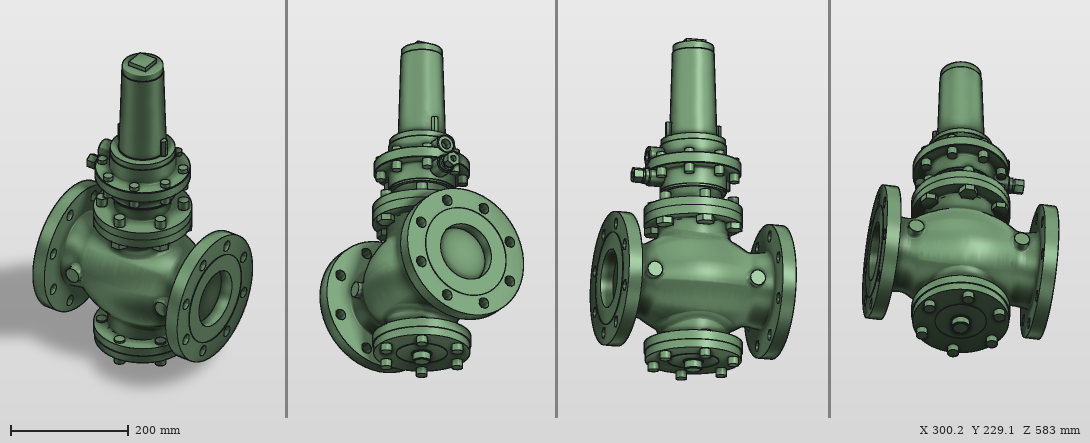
import cadquery as cq
import math


TOP_Z = 432.5
BOTTOM_Z = -150.5
UPPER_JOINT_Z = 119.5
LOWER_JOINT_Z = -119.0

HALF_LENGTH = 150.1
RAISED_FACE_HEIGHT = 1.0
RAISED_FACE_RADIUS = 79.0
PIPE_FLANGE_RADIUS = 114.55
PIPE_FLANGE_THICKNESS = 24.0
PIPE_BOLT_CIRCLE_RADIUS = 94.5
PIPE_BOLT_HOLE_RADIUS = 9.5
PIPE_BOLT_COUNT = 8
PORT_RADIUS = 50.0
PORT_DEPTH = 22.0

BULGE_RADIUS = 91.5
BULGE_END_X = 83.0
BULGE_END_RADIUS = 67.5
WAIST_START_X = 97.5
WAIST_END_X = 102.5
WAIST_RADIUS = 63.0
NECK_END_RADIUS = 66.0
PIPE_FLANGE_FILLET = 3.5

NECK_RADIUS = 60.0
NECK_FILLET = 17.5
NECK_FLANGE_FILLET = 2.5
BODY_FLANGE_RADIUS = 84.0
UPPER_FLANGE_THICKNESS = 16.0
LOWER_FLANGE_THICKNESS = 16.0

BOSS_X = 91.5
BOSS_RADIUS = 13.1
BOSS_END_Y = 78.5
BOSS_FILLET = 4.0

MAIN_BOLT_COUNT = 6
MAIN_BOLT_CIRCLE_RADIUS = 70.0
MAIN_BOLT_RADIUS = 9.5
MAIN_BOLT_START_ANGLE = 30
BOLT_HEAD_ACROSS_FLATS = 27.5
BOLT_HEAD_HEIGHT = 11.0
COVER_BOLT_TIP_HEIGHT = 3.5

COVER_RADIUS = 82.0
COVER_BOTTOM_Z = -133.5
COVER_PAD_RADIUS = 44.0
COVER_PAD_HEIGHT = 1.0
COVER_BOLT_HEAD_HEIGHT = 13.0
PLUG_COLLAR_RADIUS = 17.5
PLUG_COLLAR_HEIGHT = 2.0
PLUG_RADIUS = 15.0
PLUG_TIP_RADIUS = 13.0
PLUG_TIP_HEIGHT = 2.0

MOUNT_TOP_Z = 134.0
MOUNT_BOLT_HEIGHT = 16.0
STEM_RADIUS = 48.7
STEM_FILLET = 3.0
CASE_RADIUS = 57.0
CASE_RIM_RADIUS = 55.5
CASE_BOTTOM_Z = 162.0
CASE_BOTTOM_RIM_HEIGHT = 3.5
CASE_SHOULDER_Z = 245.0
CASE_TOP_Z = 255.5
CASE_FLANGE_RADIUS = 81.5
CASE_FLANGE_BOTTOM_Z = 195.5
CASE_FLANGE_TOP_Z = 214.5
CASE_FLANGE_CHAMFER = 1.0
CASE_FLANGE_FILLET = 3.5
SPRING_CAP_BASE_RADIUS = 41.0
SPRING_CAP_NECK_RADIUS = 35.85
SPRING_CAP_NECK_Z = 411.5
SPRING_CAP_TOP_RADIUS = 35.0
SPRING_CAP_TOP_Z = 425.0
SPRING_CAP_CHAMFER = 1.0
SPRING_CAP_FOOT = 1.0
SPRING_CAP_TOP_FILLET = 2.5
SQUARE_SIDE = 34.5

CASE_BOLT_COUNT = 8
CASE_BOLT_CIRCLE_RADIUS = 70.25
CASE_BOLT_RADIUS = 8.0
CASE_BOLT_START_ANGLE = 22.5
CASE_BOLT_BOTTOM_Z = 181.0
CASE_BOLT_TOP_Z = 222.0

CLAMP_SCREW_X = 43.0
CLAMP_SCREW_ACROSS_FLATS = 11.0
CLAMP_SCREW_TOP_Z = 285.0

LUG_RADIUS = 16.5
LUG_END_X = -82.0
LUG_CHAMFER = 2.0
UPPER_LUG_Z = 222.5
LOWER_LUG_Z = 187.0
LUG_HOLE_RADIUS = 9.0
LUG_HOLE_DEPTH = 14.5

FITTING_COLLAR_END_X = -88.5
FITTING_COLLAR_RADIUS = 13.5
FITTING_NECK_RADIUS = 10.5
FITTING_NUT_START_X = -92.0
FITTING_NUT_END_X = -108.0
FITTING_NUT_CORNER_RADIUS = 13.0
FITTING_HOLE_RADIUS = 5.0
FITTING_HOLE_DEPTH = 9.0

SELECTION_MARGIN = 0.5


def disc(radius, z_start, z_end, x=0.0, y=0.0):
    """Upright cylinder between two heights."""
    return cq.Workplane("XY", origin=(x, y, z_start)).circle(radius).extrude(z_end - z_start)


def rod_along_x(radius, x_start, x_end, z=0.0):
    """Cylinder along X between two places."""
    return cq.Workplane("YZ", origin=(x_start, 0, z)).circle(radius).extrude(x_end - x_start)


def hexagon_prism(across_flats, z_start, z_end, x=0.0, y=0.0):
    """Upright hexagonal prism with two of its corners on the X direction."""
    corner_diameter = 2 * across_flats / math.sqrt(3)
    return cq.Workplane("XY", origin=(x, y, z_start)).polygon(6, corner_diameter).extrude(z_end - z_start)


def edges_in_box(solid, low, high):
    """Edges of a solid that lie wholly in a box."""
    return solid.edges(cq.selectors.BoxSelector(low, high, boundingbox=True))


def ring_edges(solid, radius, z_low, z_high):
    """Edges around the Z axis, no wider than a radius, that lie between two heights."""
    reach = radius + SELECTION_MARGIN
    return edges_in_box(solid, (-reach, -reach, z_low), (reach, reach, z_high))


def circle_at(solid, radius, z):
    """Edges at one height, no wider than a radius."""
    return ring_edges(solid, radius, z - SELECTION_MARGIN, z + SELECTION_MARGIN)


def circle_places(count, radius, start_angle):
    """Evenly spaced points on a circle."""
    angles = [math.radians(start_angle + i * 360 / count) for i in range(count)]
    return [(radius * math.cos(a), radius * math.sin(a)) for a in angles]


MAIN_BOLT_PLACES = circle_places(MAIN_BOLT_COUNT, MAIN_BOLT_CIRCLE_RADIUS, MAIN_BOLT_START_ANGLE)
CASE_BOLT_PLACES = circle_places(CASE_BOLT_COUNT, CASE_BOLT_CIRCLE_RADIUS, CASE_BOLT_START_ANGLE)

FLANGE_FACE_X = HALF_LENGTH - RAISED_FACE_HEIGHT
FLANGE_BACK_X = FLANGE_FACE_X - PIPE_FLANGE_THICKNESS


def housing_shell():
    """Bulged shell that narrows to a waist and widens to the pipe flange on each side."""
    return (
        cq.Workplane("XY")
        .moveTo(-FLANGE_BACK_X, 0)
        .lineTo(-FLANGE_BACK_X, NECK_END_RADIUS + PIPE_FLANGE_FILLET)
        .radiusArc((-FLANGE_BACK_X + PIPE_FLANGE_FILLET, NECK_END_RADIUS), -PIPE_FLANGE_FILLET)
        .lineTo(-WAIST_END_X, WAIST_RADIUS)
        .lineTo(-WAIST_START_X, WAIST_RADIUS)
        .tangentArcPoint((-BULGE_END_X, BULGE_END_RADIUS), relative=False)
        .threePointArc((0, BULGE_RADIUS), (BULGE_END_X, BULGE_END_RADIUS))
        .tangentArcPoint((WAIST_START_X, WAIST_RADIUS), relative=False)
        .lineTo(WAIST_END_X, WAIST_RADIUS)
        .lineTo(FLANGE_BACK_X - PIPE_FLANGE_FILLET, NECK_END_RADIUS)
        .radiusArc((FLANGE_BACK_X, NECK_END_RADIUS + PIPE_FLANGE_FILLET), -PIPE_FLANGE_FILLET)
        .lineTo(FLANGE_BACK_X, 0)
        .close()
        .revolve(360, (0, 0, 0), (1, 0, 0))
    )


def pipe_flange(side):
    """Pipe flange with its raised face, bolt holes and blind port; side is -1 or 1."""
    flange = rod_along_x(PIPE_FLANGE_RADIUS, side * FLANGE_BACK_X, side * FLANGE_FACE_X)
    flange = flange.union(rod_along_x(RAISED_FACE_RADIUS, side * FLANGE_BACK_X, side * HALF_LENGTH))
    holes = (
        cq.Workplane("YZ", origin=(side * FLANGE_BACK_X, 0, 0))
        .pushPoints(circle_places(PIPE_BOLT_COUNT, PIPE_BOLT_CIRCLE_RADIUS, 180 / PIPE_BOLT_COUNT))
        .circle(PIPE_BOLT_HOLE_RADIUS)
        .extrude(side * PIPE_FLANGE_THICKNESS)
    )
    port = rod_along_x(PORT_RADIUS, side * (HALF_LENGTH - PORT_DEPTH), side * HALF_LENGTH)
    return flange.cut(holes).cut(port)


def make_housing():
    upper_flange_bottom_z = UPPER_JOINT_Z - UPPER_FLANGE_THICKNESS
    lower_flange_top_z = LOWER_JOINT_Z + LOWER_FLANGE_THICKNESS

    housing = housing_shell().union(disc(NECK_RADIUS, lower_flange_top_z, upper_flange_bottom_z))
    for z_low, z_high in ((0, BULGE_RADIUS), (-BULGE_RADIUS, 0)):
        housing = ring_edges(housing, NECK_RADIUS, z_low, z_high).fillet(NECK_FILLET)

    for x in (-BOSS_X, BOSS_X):
        boss = cq.Workplane("XZ", origin=(x, BOSS_END_Y, 0)).circle(BOSS_RADIUS).extrude(2 * BOSS_END_Y)
        housing = housing.union(boss)
        reach = BOSS_RADIUS + SELECTION_MARGIN
        foot_limit_y = BOSS_END_Y - SELECTION_MARGIN
        for y_low, y_high in ((0, foot_limit_y), (-foot_limit_y, 0)):
            foot_edges = edges_in_box(housing, (x - reach, y_low, -reach), (x + reach, y_high, reach))
            housing = foot_edges.fillet(BOSS_FILLET)

    housing = housing.union(disc(BODY_FLANGE_RADIUS, upper_flange_bottom_z, UPPER_JOINT_Z))
    housing = housing.union(disc(BODY_FLANGE_RADIUS, LOWER_JOINT_Z, lower_flange_top_z))
    for z in (upper_flange_bottom_z, lower_flange_top_z):
        housing = circle_at(housing, NECK_RADIUS, z).fillet(NECK_FLANGE_FILLET)
    for side in (-1, 1):
        housing = housing.union(pipe_flange(side))

    for x, y in MAIN_BOLT_PLACES:
        head_bottom_z = upper_flange_bottom_z - BOLT_HEAD_HEIGHT
        housing = housing.union(
            hexagon_prism(BOLT_HEAD_ACROSS_FLATS, head_bottom_z, upper_flange_bottom_z, x, y)
        )
        tip_top_z = lower_flange_top_z + COVER_BOLT_TIP_HEIGHT
        housing = housing.union(disc(MAIN_BOLT_RADIUS, lower_flange_top_z, tip_top_z, x, y))
    return housing


def make_cover():
    pad_bottom_z = COVER_BOTTOM_Z - COVER_PAD_HEIGHT
    collar_bottom_z = pad_bottom_z - PLUG_COLLAR_HEIGHT
    plug_bottom_z = BOTTOM_Z + PLUG_TIP_HEIGHT

    cover = disc(COVER_RADIUS, COVER_BOTTOM_Z, LOWER_JOINT_Z)
    cover = cover.union(disc(COVER_PAD_RADIUS, pad_bottom_z, COVER_BOTTOM_Z))
    cover = cover.union(disc(PLUG_COLLAR_RADIUS, collar_bottom_z, pad_bottom_z))
    cover = cover.union(disc(PLUG_RADIUS, plug_bottom_z, collar_bottom_z))
    cover = cover.union(disc(PLUG_TIP_RADIUS, BOTTOM_Z, plug_bottom_z))
    for x, y in MAIN_BOLT_PLACES:
        head_bottom_z = COVER_BOTTOM_Z - COVER_BOLT_HEAD_HEIGHT
        cover = cover.union(disc(MAIN_BOLT_RADIUS, head_bottom_z, COVER_BOTTOM_Z, x, y))
    return cover


def diaphragm_case():
    """Stem, case barrel with stepped ends, and the wide bolted case flange."""
    stem = disc(STEM_RADIUS, MOUNT_TOP_Z, CASE_BOTTOM_Z)
    mount = disc(BODY_FLANGE_RADIUS, UPPER_JOINT_Z, MOUNT_TOP_Z)
    case = mount.union(stem)
    case = circle_at(case, STEM_RADIUS, MOUNT_TOP_Z).fillet(STEM_FILLET)
    case = case.union(disc(CASE_RIM_RADIUS, CASE_BOTTOM_Z, CASE_TOP_Z))
    case = case.union(disc(CASE_RADIUS, CASE_BOTTOM_Z + CASE_BOTTOM_RIM_HEIGHT, CASE_SHOULDER_Z))
    flange = disc(CASE_FLANGE_RADIUS, CASE_FLANGE_BOTTOM_Z, CASE_FLANGE_TOP_Z)
    case = case.union(flange.faces("|Z").edges().chamfer(CASE_FLANGE_CHAMFER))
    for z in (CASE_FLANGE_BOTTOM_Z, CASE_FLANGE_TOP_Z):
        case = circle_at(case, CASE_RADIUS, z).fillet(CASE_FLANGE_FILLET)
    return case


def spring_cap():
    """Tapered cap with a plain band at its top and a square drive on its end."""
    cap = (
        cq.Workplane("XZ")
        .moveTo(0, CASE_TOP_Z)
        .lineTo(SPRING_CAP_BASE_RADIUS + SPRING_CAP_FOOT, CASE_TOP_Z)
        .lineTo(SPRING_CAP_BASE_RADIUS, CASE_TOP_Z + SPRING_CAP_FOOT)
        .lineTo(SPRING_CAP_NECK_RADIUS, SPRING_CAP_NECK_Z)
        .lineTo(SPRING_CAP_TOP_RADIUS, SPRING_CAP_NECK_Z + SPRING_CAP_CHAMFER)
        .lineTo(SPRING_CAP_TOP_RADIUS, SPRING_CAP_TOP_Z)
        .lineTo(0, SPRING_CAP_TOP_Z)
        .close()
        .revolve(360, (0, 0, 0), (0, 1, 0))
    )
    drive = (
        cq.Workplane("XY", origin=(0, 0, SPRING_CAP_TOP_Z))
        .rect(SQUARE_SIDE, SQUARE_SIDE)
        .extrude(TOP_Z - SPRING_CAP_TOP_Z)
    )
    return cap.faces(">Z").edges().fillet(SPRING_CAP_TOP_FILLET).union(drive)


def port_lug(z):
    """Round lug that sticks out of the case toward -X."""
    return rod_along_x(LUG_RADIUS, LUG_END_X, -STEM_RADIUS, z).faces("<X").chamfer(LUG_CHAMFER)


def tube_fitting():
    """Collar, short neck and drilled hexagon nut on the lower lug."""
    fitting = rod_along_x(FITTING_COLLAR_RADIUS, FITTING_COLLAR_END_X, LUG_END_X, LOWER_LUG_Z)
    fitting = fitting.union(
        rod_along_x(FITTING_NECK_RADIUS, FITTING_NUT_START_X, FITTING_COLLAR_END_X, LOWER_LUG_Z)
    )
    nut = (
        cq.Workplane("YZ", origin=(FITTING_NUT_END_X, 0, LOWER_LUG_Z))
        .transformed(rotate=(0, 0, 90))
        .polygon(6, 2 * FITTING_NUT_CORNER_RADIUS)
        .extrude(FITTING_NUT_START_X - FITTING_NUT_END_X)
    )
    hole_end_x = FITTING_NUT_END_X + FITTING_HOLE_DEPTH
    hole = rod_along_x(FITTING_HOLE_RADIUS, FITTING_NUT_END_X, hole_end_x, LOWER_LUG_Z)
    return fitting.union(nut).cut(hole)


def make_actuator():
    actuator = diaphragm_case().union(spring_cap())
    for x, y in MAIN_BOLT_PLACES:
        bolt_top_z = MOUNT_TOP_Z + MOUNT_BOLT_HEIGHT
        actuator = actuator.union(disc(MAIN_BOLT_RADIUS, MOUNT_TOP_Z, bolt_top_z, x, y))
    for x, y in CASE_BOLT_PLACES:
        actuator = actuator.union(disc(CASE_BOLT_RADIUS, CASE_BOLT_BOTTOM_Z, CASE_BOLT_TOP_Z, x, y))
    for x in (-CLAMP_SCREW_X, CLAMP_SCREW_X):
        screw = hexagon_prism(CLAMP_SCREW_ACROSS_FLATS, CASE_TOP_Z, CLAMP_SCREW_TOP_Z, x)
        screw = screw.rotate((x, 0, 0), (x, 0, 1), 90)
        actuator = actuator.union(screw)
    for z in (UPPER_LUG_Z, LOWER_LUG_Z):
        actuator = actuator.union(port_lug(z))
    lug_hole = rod_along_x(LUG_HOLE_RADIUS, LUG_END_X, LUG_END_X + LUG_HOLE_DEPTH, UPPER_LUG_Z)
    return actuator.cut(lug_hole).union(tube_fitting())


housing = make_housing()
cover = make_cover()
actuator = make_actuator()
result = cq.Compound.makeCompound([housing.val(), cover.val(), actuator.val()])